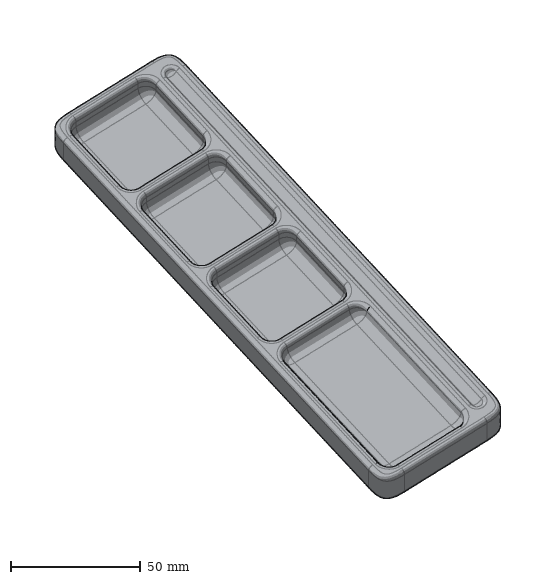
import cadquery as cq

LENGTH = 215.0
WIDTH = 60.0
HEIGHT = 15.0
EDGE_FILLET = 2.0

SQUARE_COUNT = 3
POCKET_WIDTH = 40.0
LONG_LENGTH = 70.0
SQUARE_DEPTH = 10.0
LONG_DEPTH = 6.0
POCKET_RADIUS = 5.0

WALL_COUNT = SQUARE_COUNT + 2
WALL = (LENGTH - SQUARE_COUNT * POCKET_WIDTH - LONG_LENGTH) / WALL_COUNT

CORNER_REACH = WALL + POCKET_RADIUS
CORNER_FULLNESS = 0.8

GROOVE_RADIUS = 2.8
GROOVE_DEPTH = 2.2
GROOVE_TO_BACK = 7.5
GROOVE_Y = WIDTH - GROOVE_TO_BACK
GROOVE_START = CORNER_REACH
GROOVE_RUN = LENGTH - 2 * GROOVE_START

TOLERANCE = 0.2


def make_body():
    """Block whose vertical corners are Bezier blends, fuller than a circular arc."""
    pull = CORNER_REACH * (1 - CORNER_FULLNESS)
    right = LENGTH - CORNER_REACH
    back = WIDTH - CORNER_REACH
    outline = (
        cq.Workplane("XY")
        .moveTo(CORNER_REACH, 0)
        .lineTo(right, 0)
        .bezier([(right, 0), (LENGTH - pull, 0), (LENGTH, pull), (LENGTH, CORNER_REACH)])
        .lineTo(LENGTH, back)
        .bezier([(LENGTH, back), (LENGTH, WIDTH - pull), (LENGTH - pull, WIDTH), (right, WIDTH)])
        .lineTo(CORNER_REACH, WIDTH)
        .bezier([(CORNER_REACH, WIDTH), (pull, WIDTH), (0, WIDTH - pull), (0, back)])
        .lineTo(0, CORNER_REACH)
        .bezier([(0, CORNER_REACH), (0, pull), (pull, 0), (CORNER_REACH, 0)])
        .close()
    )
    return outline.extrude(HEIGHT).faces("<Z or >Z").edges().fillet(EDGE_FILLET)


def pocket_cutter(x_start, length, depth):
    """Rounded block with ball-shaped lower corners, standing out above the top face."""
    return (
        cq.Workplane("XY", origin=(x_start, WALL, HEIGHT - depth))
        .box(length, POCKET_WIDTH, depth + HEIGHT, centered=False)
        .edges("|Z")
        .fillet(POCKET_RADIUS)
        .faces("<Z")
        .edges()
        .fillet(POCKET_RADIUS)
    )


def groove_cutter():
    """Round bar with ball ends, its axis slightly above the top face."""
    start = (GROOVE_START, GROOVE_Y, HEIGHT - GROOVE_DEPTH + GROOVE_RADIUS)
    bar = cq.Workplane("YZ", origin=start).circle(GROOVE_RADIUS).extrude(GROOVE_RUN)
    ball = cq.Workplane("XY", origin=start).sphere(GROOVE_RADIUS)
    return bar.union(ball).union(ball.translate((GROOVE_RUN, 0, 0)))


def cut_recess(body, cutter):
    """Cut the recess, then round the edge it leaves in the top face."""
    bounds = cutter.val().BoundingBox()
    low = (bounds.xmin - TOLERANCE, bounds.ymin - TOLERANCE, HEIGHT - TOLERANCE)
    high = (bounds.xmax + TOLERANCE, bounds.ymax + TOLERANCE, HEIGHT + TOLERANCE)
    rim = cq.selectors.BoxSelector(low, high, boundingbox=True)
    return body.cut(cutter).edges(rim).fillet(EDGE_FILLET)


result = make_body()

pocket_x = WALL
for pocket_index in range(SQUARE_COUNT):
    result = cut_recess(result, pocket_cutter(pocket_x, POCKET_WIDTH, SQUARE_DEPTH))
    pocket_x += POCKET_WIDTH + WALL
result = cut_recess(result, pocket_cutter(pocket_x, LONG_LENGTH, LONG_DEPTH))

result = cut_recess(result, groove_cutter())